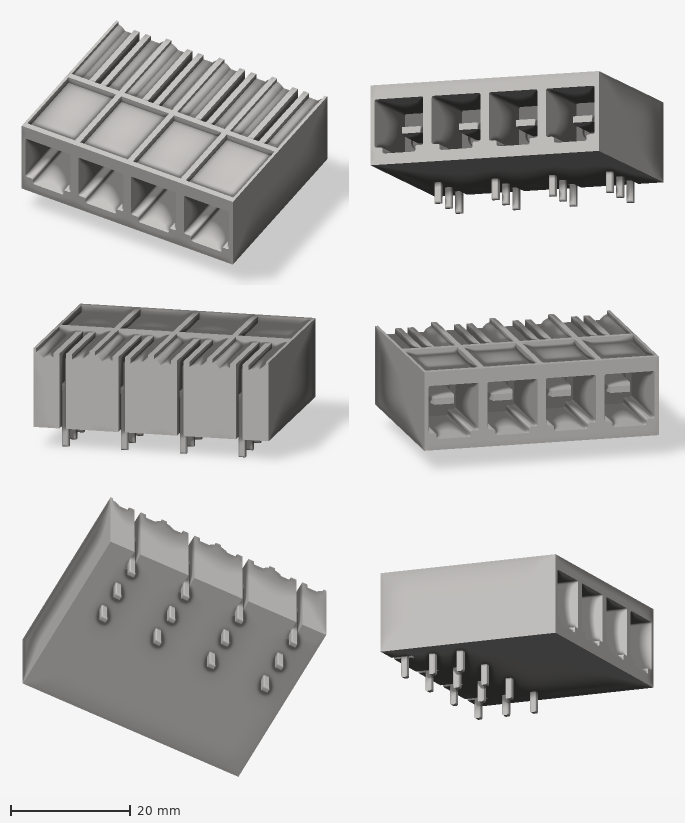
import cadquery as cq
import math

width = 40.65
length = 32.0
height = 13.57
poles = 4
pitch = width / poles

socket_width = 8.65
socket_top = 11.15
socket_bottom = 2.93
socket_depth = 15.0
key_width = 5.85
key_bottom = 1.85
socket_radius = 0.33
recess_width = 6.5
recess_height = 4.05
recess_centre = 6.8
recess_radius = 1.55
recess_depth = 1.05

wall = 0.98
cell_width = pitch - wall
border = 1.05
pocket_length = 13.95
pocket_depth = 1.18

trough_start = border + pocket_length + border
rib_top = height - 0.65
trough_floor = height - 1.6
rib_width = 1.0
hump_radius = 2.0
slot_floor = socket_top
opening_length = 3.7

leg_count = 3
leg_width = 1.15
leg_length = 3.55
leg_chamfer = 0.15
leg_tip_radius = 0.35
leg_pitch = 5.1
bar_rear_gap = 1.65
blade_width = 4.47
blade_thickness = 1.1
blade_height = 6.75
blade_tip = 6.1
taper_width = 0.55
taper_angle = 15

slot_width = leg_width
taper_length = taper_width / math.tan(math.radians(taper_angle))
blade_end = socket_depth + recess_depth
bar_rear = length - bar_rear_gap
bar_top = blade_height + blade_thickness / 2
bar_bottom = blade_height - blade_thickness / 2
cell_centres = [(i - (poles - 1) / 2) * pitch for i in range(poles)]


def block(size_x, y_start, y_end, z_start, z_end):
    """Box centred on X between the given Y and Z limits."""
    box = cq.Workplane("XY").box(size_x, y_end - y_start, z_end - z_start, centered=(True, False, False))
    return box.translate((0, y_start, z_start))


def make_socket():
    """Keyed socket with an oval recess in its back wall."""
    opening = block(socket_width, 0, socket_depth, socket_bottom, socket_top)
    key = block(key_width, 0, socket_depth, key_bottom, recess_centre)
    socket = opening.union(key).edges("|Y").fillet(socket_radius)
    recess = block(
        recess_width,
        socket_depth - recess_depth,
        blade_end,
        recess_centre - recess_height / 2,
        recess_centre + recess_height / 2,
    )
    return socket.union(recess.edges("|Y").fillet(recess_radius))


def make_trough():
    """Clearance above the two ribs and the round shoulders of one cell."""
    outer = cell_width / 2
    rib_inner = slot_width / 2
    rib_outer = rib_inner + rib_width
    half_pitch = pitch / 2

    hump_centre = rib_top - math.sqrt(hump_radius**2 - (wall / 2) ** 2)
    foot = half_pitch - math.sqrt(hump_radius**2 - (trough_floor - hump_centre) ** 2)
    middle = (outer + foot) / 2
    middle_height = hump_centre + math.sqrt(hump_radius**2 - (half_pitch - middle) ** 2)

    profile = (
        cq.Workplane("XZ")
        .moveTo(-outer, height)
        .lineTo(-outer, rib_top)
        .threePointArc((-middle, middle_height), (-foot, trough_floor))
        .lineTo(-rib_outer, trough_floor)
        .lineTo(-rib_outer, rib_top)
        .lineTo(rib_outer, rib_top)
        .lineTo(rib_outer, trough_floor)
        .lineTo(foot, trough_floor)
        .threePointArc((middle, middle_height), (outer, rib_top))
        .lineTo(outer, height)
        .close()
    )
    return profile.extrude(trough_start - length).translate((0, trough_start, 0))


def make_cell_cut():
    """Everything removed from the housing in one cell, apart from the contact seat."""
    pocket = block(cell_width, border, border + pocket_length, height - pocket_depth, height)
    slot = block(slot_width, trough_start, length, slot_floor, height)
    rear_opening = block(slot_width, length - opening_length, length, 0, height)
    return make_socket().union(pocket).union(make_trough()).union(slot).union(rear_opening)


def make_leg(y):
    """Solder leg with bevelled edges, rounded tip and its root inside the bar."""
    leg = block(leg_width, y - leg_width / 2, y + leg_width / 2, -leg_length, blade_height)
    leg = leg.edges("|Z").chamfer(leg_chamfer)
    return leg.faces("<Z").edges("<Y or >Y").fillet(leg_tip_radius)


def make_contact():
    """One contact: tapered blade, straight bar and a row of solder legs."""
    half = blade_width / 2
    tip_half = half - taper_width
    blade = (
        cq.Workplane("XY", origin=(0, 0, bar_bottom))
        .polyline([
            (-tip_half, blade_tip),
            (tip_half, blade_tip),
            (half, blade_tip + taper_length),
            (half, blade_end),
            (-half, blade_end),
            (-half, blade_tip + taper_length),
        ])
        .close()
        .extrude(blade_thickness)
    )
    contact = blade.union(block(leg_width, blade_end, bar_rear, bar_bottom, bar_top))
    for i in range(leg_count):
        contact = contact.union(make_leg(bar_rear - leg_width / 2 - i * leg_pitch))
    return contact


contacts = [make_contact().translate((x, 0, 0)) for x in cell_centres]

housing = block(width, 0, length, 0, height)
for x, contact in zip(cell_centres, contacts):
    housing = housing.cut(make_cell_cut().translate((x, 0, 0))).cut(contact)

contact_solids = [contact.solids().val() for contact in contacts]
result = cq.Compound.makeCompound([housing.solids().val(), *contact_solids])